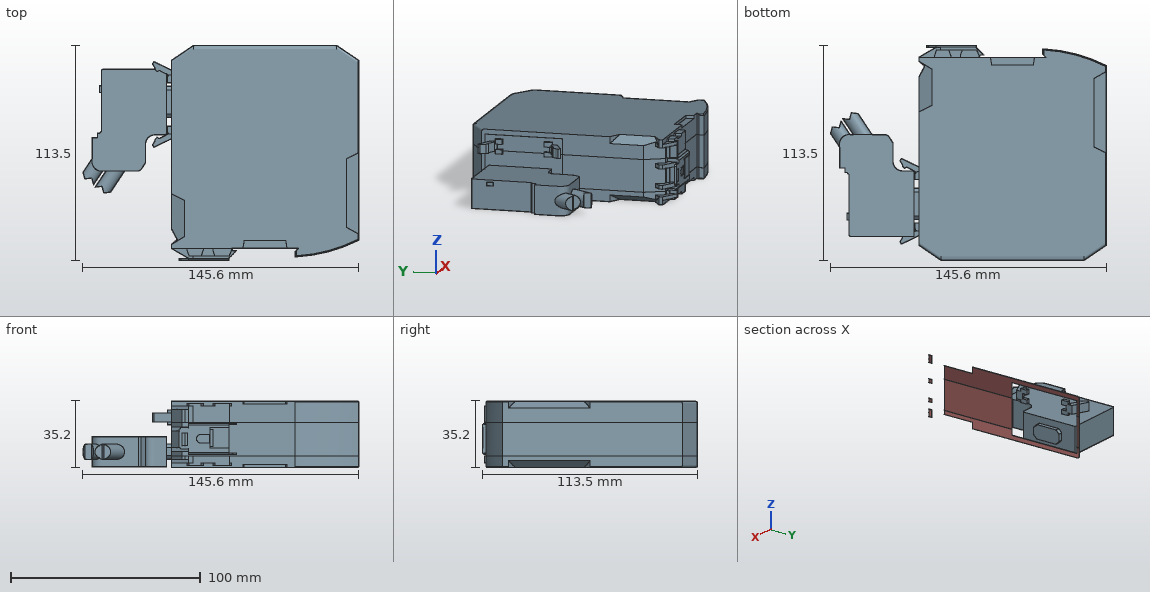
import cadquery as cq


housing_width = 99.0
housing_height = 107.2
overall_height = 113.5
housing_depth = 35.2
lower_split = 6.25
upper_split = 23.95

crown_run = 11.8
crown_drop = 8.0
crown_bevel_run = 2.0
crown_bevel_drop = 0.5
crown_rounding = 1.4
rim_chamfer = 0.6

shoulder_height = 10.5
shoulder_x = 5.6
rail_gap_end = 67.0
hook_x = 65.4
hook_root = -1.6
hook_tip = -4.4
hook_tip_x = 66.3
belly_mid = (82.0, -2.0)
belly_end = 4.4

side_bevel_drop = 3.7
left_bevel_width = 6.9
left_bevel_outer = (2.1, 28.9)
left_bevel_inner = (6.2, 25.4)
right_bevel_width = 6.6
right_bevel_outer = (7.5, 50.6)
right_bevel_inner = (11.2, 47.3)

pocket_start = 37.8
pocket_end = 61.1
pocket_rise = 4.2
pocket_taper = 0.7
pocket_depth = 1.6

panel_low = 54.9
panel_high = 97.4
panel_margin = 2.7
panel_depth = 0.2

foot_bottom = -5.2
fin_ranges = [(2.5, 4.4), (8.5, 10.6), (19.4, 21.6), (30.8, 32.7)]
fin_lip_low = 2.1
fin_lip_high = 4.7
fin_lip_x = 3.1
foot_start = 9.0
pad_end = 30.7
pad_bottom = -3.9
pad_margin = 2.5
pad_step_x = 7.2
pad_step_y = -1.6
pad_rib_end = 11.4
tooth_height = 1.3
tooth_top = -0.8
tooth_flare = 1.1
tooth_spans = [(9.4, 15.8), (23.0, pad_end)]

latch_low = 7.1
latch_high = 23.4
plate_bottom = housing_height - overall_height
plate_chamfer = 0.9
plate_end = 30.4
latch_nose = 34.4
latch_nose_y = -1.1
latch_nose_back = 32.5
latch_nose_root = 32.0
latch_rib = 0.7
tongue_x = 4.2
tongue_low = 9.9
tongue_high = 21.1
tongue_corner = 0.9
slot_x = (5.6, 8.6)
slot_z = (11.6, 18.2)
thumb_x = (13.3, 20.1)
thumb_z = (13.0, 17.6)
thumb_corner = 1.5
window_x = 20.4
window_z = (10.3, 21.1)
window_groove_end = 22.1
window_groove_margin = 0.9
window_depth = 0.3
recess_depth = 0.7

plug_bottom = 0.4
plug_top = 16.4
plug_right = -2.4
plug_left = -36.9
plug_high = 94.6
plug_low = 40.8
plug_waist = 59.9
cable_end_left = -41.8
cable_end_right = -13.5
corner_radius = 5.0
throat_radius = 4.8
edge_radius = 1.0
tip_cut = (2.4, 3.7)
tip_bevel = (1.3, 0.8)
step_x = -39.0
step_high = 61.9
step_mid = 60.9
step_low = 58.5
nose_low = 69.0
nose_high = 85.7
nose_bottom = 4.4
nose_top = 12.6
nose_edge = 2.0
button_length = 1.0
button_y = (82.3, 85.9)
button_z = (13.4, 15.3)

cable_diameter = 8.3
cable_z = 8.4
cable_angle = 56.4
cable_length = 20.0
tear_depth = 2.4
cable_tips = [(-43.8, 36.9, 1), (-36.1, 31.0, -1)]

lever_mirror_y = 76.0
lever_z = (24.0, 29.0)
lever_outline = [(0, 94.2), (-9.1, 98.6), (-10.0, 97.4), (-8.8, 95.5), (-8.5, 94.4),
                 (-7.4, 93.3), (-6.4, 94.0), (-2.0, 91.7), (-1.2, 90.4), (0, 90.4)]
tab_length = 2.0
tab_y = (87.4, 91.6)
tab_rounding = 1.2
tab_z_ranges = [(22.6, 25.0), (27.9, 30.5)]


def box(x_range, y_range, z_range):
    size = [high - low for low, high in (x_range, y_range, z_range)]
    return cq.Workplane("XY").box(*size, centered=False).translate((x_range[0], y_range[0], z_range[0]))


def prism(points, z_range):
    low, high = z_range
    return cq.Workplane("XY").workplane(offset=low).polyline(points).close().extrude(high - low)


def mirror_z(shape):
    """Mirror a shape about the middle of the housing depth."""
    return shape.mirror("XY", (0, 0, housing_depth / 2))


def housing_block():
    crown_low = housing_height - crown_drop
    return (
        cq.Workplane("XY")
        .moveTo(shoulder_x, 0)
        .lineTo(rail_gap_end, 0)
        .lineTo(hook_x, hook_root)
        .lineTo(hook_x, hook_tip)
        .lineTo(hook_tip_x, hook_tip)
        .threePointArc(belly_mid, (housing_width, belly_end))
        .lineTo(housing_width, crown_low)
        .lineTo(housing_width - crown_run, housing_height)
        .lineTo(crown_run, housing_height)
        .lineTo(0, crown_low)
        .lineTo(0, shoulder_height)
        .close()
        .extrude(housing_depth)
    )


def rounded_and_chamfered(block):
    """Soften the upper and lower edges of the corner cuts, belly, hook and right wall."""
    crown_y = housing_height - crown_drop / 2
    hook_middle = (hook_root + hook_tip) / 2
    wall_middle = (belly_end + housing_height - crown_drop) / 2
    crown_points = [(crown_run / 2, crown_y), (housing_width - crown_run / 2, crown_y)]
    rim_points = [belly_mid, (hook_x, hook_middle), (housing_width, wall_middle)]
    rim_points.append(((hook_x + hook_tip_x) / 2, hook_tip))

    def edges_at(solid, points):
        picked = []
        for x, y in points:
            for z in (0, housing_depth):
                picked += solid.edges(cq.selectors.NearestToPointSelector((x, y, z))).vals()
        return solid.newObject(picked)

    block = edges_at(block, rim_points).chamfer(rim_chamfer)
    return edges_at(block, crown_points).fillet(crown_rounding)


def crown_bevel():
    """Wedge that bevels the upper edge of the far side."""
    section = [(0, 0), (-crown_bevel_run, 0), (0, -crown_bevel_drop)]
    wedge = cq.Workplane("YZ").polyline(section).close().extrude(housing_width - 2 * crown_run)
    return wedge.translate((crown_run, housing_height, housing_depth))


def side_bevel(width, outer, inner):
    """Sloping cut on the upper left edge, closed by slanted end walls."""
    footprint = [(0, outer[0]), (width, inner[0]), (width, inner[1]), (0, outer[1])]
    low = housing_depth - side_bevel_drop
    slope = (
        cq.Workplane("XZ")
        .polyline([(0, low), (width, housing_depth), (0, housing_depth)])
        .close()
        .extrude(-housing_height)
    )
    return prism(footprint, (low, housing_depth)).intersect(slope)


def rail_pocket():
    points = [(pocket_start, 0), (pocket_end, 0),
              (pocket_end - pocket_taper, pocket_rise), (pocket_start + pocket_taper, pocket_rise)]
    return prism(points, (housing_depth - pocket_depth, housing_depth))


def foot_fin(z_range):
    """Guide fin: a lip on the left wall and a slanted leg under the rail face."""
    points = [(0, 0), (foot_start, foot_bottom), (foot_start, fin_lip_high),
              (fin_lip_x, fin_lip_high), (0, fin_lip_low)]
    return prism(points, z_range)


def side_lip():
    """Lip on the left wall, flush with the housing side and ending at the outer fin."""
    points = [(0, 0), (foot_start, 0), (foot_start, fin_lip_high), (fin_lip_x, fin_lip_high), (0, fin_lip_low)]
    return prism(points, (housing_depth - fin_ranges[0][1], housing_depth))


def foot_pad(z_range):
    points = [(pad_step_x, 0), (pad_step_x, pad_step_y), (foot_start, pad_step_y), (foot_start, foot_bottom),
              (pad_rib_end, foot_bottom), (pad_rib_end, pad_bottom),
              (pad_end, pad_bottom), (pad_end, 0)]
    return prism(points, z_range)


def pad_teeth():
    """Two tapered teeth standing on the upper side of the upper pad."""
    base = housing_depth - pad_margin
    teeth = []
    for start, end in tooth_spans:
        points = [(start, pad_bottom), (end, pad_bottom),
                  (end + tooth_flare, tooth_top), (end + tooth_flare, 0),
                  (start - tooth_flare, 0), (start - tooth_flare, tooth_top)]
        teeth.append(prism(points, (base, base + tooth_height)))
    return teeth


def same_side(shape):
    return shape


def build_housing():
    body = rounded_and_chamfered(housing_block())
    body = body.cut(box((0, panel_depth), (panel_low, panel_high), (panel_margin, housing_depth - panel_margin)))
    for z_range in fin_ranges:
        body = body.union(foot_fin(z_range))
    body = body.union(box((pad_step_x, foot_start), (pad_step_y, 0), (fin_ranges[1][1], fin_ranges[2][0])))
    body = body.union(foot_pad((upper_split, housing_depth - pad_margin)))
    body = body.union(foot_pad((pad_margin, lower_split)))
    left_bevel = side_bevel(left_bevel_width, left_bevel_outer, left_bevel_inner)
    right_bevel = side_bevel(right_bevel_width, right_bevel_outer, right_bevel_inner)
    right_bevel = right_bevel.mirror("YZ", (housing_width / 2, 0, 0))
    for place in (same_side, mirror_z):
        body = body.union(place(side_lip()))
        for tooth in pad_teeth():
            body = body.union(place(tooth))
        for cutter in (crown_bevel(), left_bevel, right_bevel, rail_pocket()):
            body = body.cut(place(cutter))
    return body


def housing_layer(housing, z_range):
    """One of the stacked housing shells."""
    return housing.intersect(box((0, housing_width), (plate_bottom, housing_height), z_range))


def build_latch():
    plate = box((foot_start, plate_end), (plate_bottom, 0), (latch_low, latch_high))
    body = plate.edges("|X and <Y").chamfer(plate_chamfer)
    hook = [(pad_rib_end, 0), (pad_rib_end, foot_bottom), (plate_end, foot_bottom),
            (latch_nose, latch_nose_y), (latch_nose_back, latch_nose_y), (latch_nose_root, 0)]
    for rib_low in (latch_low, latch_high - latch_rib):
        body = body.union(prism(hook, (rib_low, rib_low + latch_rib)))
    tongue = box((tongue_x, foot_start), (plate_bottom, foot_bottom), (tongue_low, tongue_high))
    tongue = tongue.edges("|Y and <X").chamfer(tongue_corner)
    body = body.union(tongue)
    recess = (plate_bottom, plate_bottom + recess_depth)
    thumb = box(thumb_x, recess, thumb_z).edges("|Y and <X").chamfer(thumb_corner)
    window = box((window_x, plate_end), (plate_bottom, plate_bottom + window_depth), window_z)
    groove_z = (window_z[0] + window_groove_margin, window_z[1] - window_groove_margin)
    groove = box((window_x, window_groove_end), recess, groove_z)
    slot = box(slot_x, (plate_bottom, foot_bottom), slot_z)
    return body.cut(thumb).cut(window).cut(groove).cut(slot)


def build_plug():
    throat_x = cable_end_right + throat_radius
    outline = (
        cq.Workplane("XY")
        .workplane(offset=plug_bottom)
        .moveTo(plug_left + edge_radius, plug_high)
        .lineTo(plug_right, plug_high)
        .lineTo(plug_right, plug_waist + edge_radius)
        .radiusArc((plug_right - edge_radius, plug_waist), edge_radius)
        .lineTo(throat_x, plug_waist)
        .radiusArc((cable_end_right, plug_waist - throat_radius), -throat_radius)
        .lineTo(cable_end_right, plug_low + tip_bevel[1] + tip_cut[1])
        .lineTo(cable_end_right - tip_cut[0], plug_low + tip_bevel[1])
        .lineTo(cable_end_right - tip_cut[0] - tip_bevel[0], plug_low)
        .lineTo(cable_end_left + corner_radius, plug_low)
        .radiusArc((cable_end_left, plug_low + corner_radius), corner_radius)
        .lineTo(cable_end_left, step_low)
        .lineTo(step_x, step_low)
        .lineTo(step_x, step_mid)
        .lineTo(plug_left - (step_high - step_mid), step_mid)
        .lineTo(plug_left, step_high)
        .lineTo(plug_left, plug_high - edge_radius)
        .radiusArc((plug_left + edge_radius, plug_high), edge_radius)
        .close()
    )
    body = outline.extrude(plug_top - plug_bottom)
    nose = box((plug_right, 0), (nose_low, nose_high), (nose_bottom, nose_top)).edges("|X").chamfer(nose_edge)
    button = box((plug_left - button_length, plug_left), button_y, button_z)
    return body.union(nose).union(button)


def build_cable(tip_x, tip_y, tear_side, plug):
    """Round cable leaving the plug, with a zigzag torn end."""
    radius = cable_diameter / 2
    third = cable_diameter / 3
    middle = tear_depth / 2
    rod = cq.Workplane("YZ").circle(radius).extrude(cable_length)
    tear = [(-middle, -tear_side * radius), (middle, tear_side * (third - radius)),
            (-middle, tear_side * (radius - third)), (middle, tear_side * radius)]
    far = [(cable_length, tear_side * radius), (cable_length, -tear_side * radius)]
    profile = prism(tear + far, (-radius, radius))
    cable = rod.translate((-tear_depth, 0, 0)).intersect(profile)
    cable = cable.rotate((0, 0, 0), (0, 0, 1), cable_angle).translate((tip_x, tip_y, cable_z))
    beyond_plug_wall = box((cable_end_left, 0), (plug_low + corner_radius, housing_height), (0, housing_depth))
    return cable.cut(plug).cut(beyond_plug_wall)


def build_lever():
    lever = prism(lever_outline, lever_z)
    for z_range in tab_z_ranges:
        tab = box((-tab_length, 0), tab_y, z_range).edges("|Z and >Y and <X").fillet(tab_rounding)
        lever = lever.union(tab)
    return lever


housing = build_housing()
lower_shell = housing_layer(housing, (0, lower_split))
middle_shell = housing_layer(housing, (lower_split, upper_split))
upper_shell = housing_layer(housing, (upper_split, housing_depth))

latch = build_latch()
plug = build_plug()
cables = [build_cable(*tip, plug) for tip in cable_tips]

upper_lever = build_lever()
lower_lever = upper_lever.mirror("XZ", (0, lever_mirror_y, 0))
levers = [upper_lever, lower_lever]

bodies = [lower_shell, middle_shell, upper_shell, latch, plug, *cables, *levers]
result = cq.Compound.makeCompound([body.solids().val() for body in bodies])